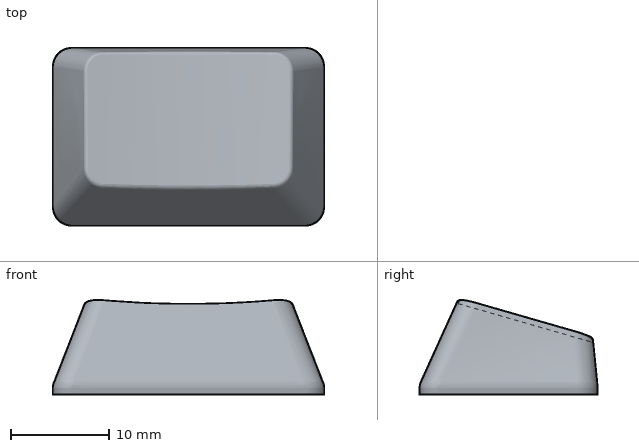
import cadquery as cq
import math

WIDTH = 27.7
DEPTH = 18.16
BEND_HEIGHT = 1.0
BLEND_REACH = 0.33
CORNER_RADIUS = 2.0

TOP_WIDTH = 21.1
TOP_CORNER_RADIUS = 2.0
TOP_FRONT_Y = -5.05
TOP_BACK_Y = 8.58
TOP_FRONT_Z = 9.9
TOP_TILT = 16.1
TOP_EDGE_ROUND = 0.4
DISH_DEPTH = 0.6

tilt = math.radians(TOP_TILT)
top_run = TOP_BACK_Y - TOP_FRONT_Y
top_length = top_run / math.cos(tilt)
top_back_z = TOP_FRONT_Z - top_run * math.tan(tilt)
top_center_z = (TOP_FRONT_Z + top_back_z) / 2
top_plane = cq.Plane(
    origin=(0, (TOP_FRONT_Y + TOP_BACK_Y) / 2, top_center_z),
    xDir=(1, 0, 0),
    normal=(0, math.sin(tilt), math.cos(tilt)),
)
dish_radius = ((TOP_WIDTH / 2) ** 2 + DISH_DEPTH**2) / (2 * DISH_DEPTH)

front_inset = BLEND_REACH * (TOP_FRONT_Y + DEPTH / 2) / (TOP_FRONT_Z - BEND_HEIGHT)
back_inset = BLEND_REACH * (DEPTH / 2 - TOP_BACK_Y) / (top_back_z - BEND_HEIGHT)
side_inset = BLEND_REACH * (WIDTH - TOP_WIDTH) / 2 / (top_center_z - BEND_HEIGHT)


def rounded_outline(plane, width, depth, radius):
    """Closed rounded-rectangle wire centred on a plane."""
    rectangle = cq.Workplane(plane).rect(width, depth).val()
    return rectangle.fillet2D(radius, rectangle.Vertices())


def level_outline(height, inset_share):
    """Horizontal outline with its sides moved in by a share of the bend insets."""
    center_y = inset_share * (front_inset - back_inset) / 2
    plane = cq.Plane(origin=(0, center_y, height))
    width = WIDTH - 2 * inset_share * side_inset
    depth = DEPTH - inset_share * (front_inset + back_inset)
    return rounded_outline(plane, width, depth, CORNER_RADIUS)


band_bottom = level_outline(0, 0)
band_top = level_outline(BEND_HEIGHT - BLEND_REACH, 0)
bend_middle = level_outline(BEND_HEIGHT, 1 / 4)
bend_top = level_outline(BEND_HEIGHT + BLEND_REACH, 1)
top_outline = rounded_outline(top_plane, TOP_WIDTH, top_length, TOP_CORNER_RADIUS)


def loft_through(outlines, ruled):
    return cq.Workplane(cq.Solid.makeLoft(outlines, ruled))


def finger_dish():
    """Cylinder lying along the slope that hollows the top."""
    axis_plane = cq.Plane(
        origin=top_plane.toWorldCoords((0, -top_length, dish_radius - DISH_DEPTH)),
        xDir=(1, 0, 0),
        normal=top_plane.yDir,
    )
    return cq.Workplane(axis_plane).circle(dish_radius).extrude(2 * top_length)


walls = loft_through([bend_top, top_outline], ruled=True).cut(finger_dish())
dish_center = top_plane.toWorldCoords((0, 0, -DISH_DEPTH))
dish_face = walls.faces(cq.selectors.NearestToPointSelector(dish_center))
walls = dish_face.edges().fillet(TOP_EDGE_ROUND)

band = loft_through([band_bottom, band_top], ruled=True)
bend = loft_through([band_top, bend_middle, bend_top], ruled=False)

result = band.union(bend).union(walls)